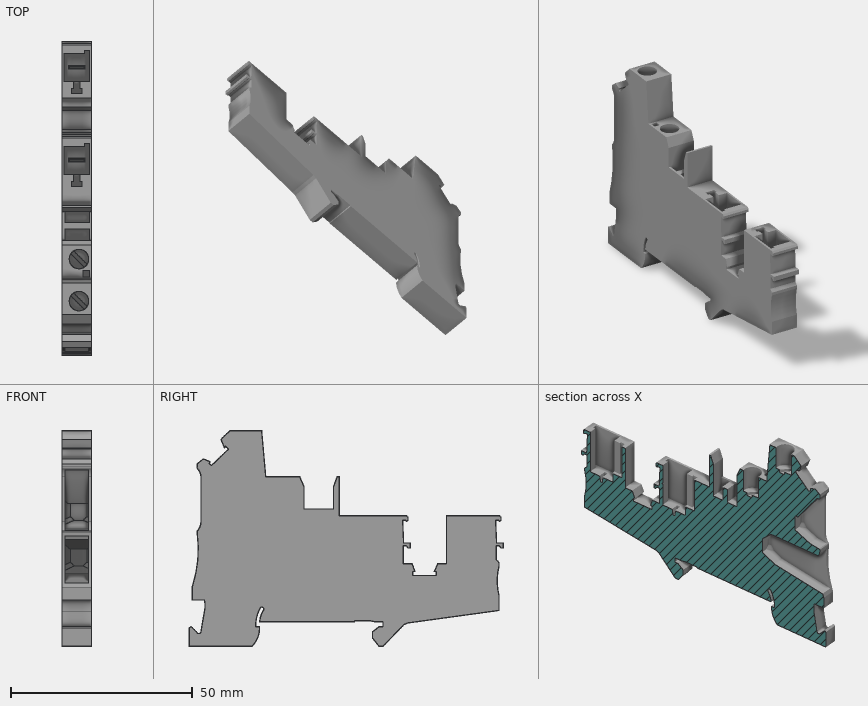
import cadquery as cq


thickness = 8.1
length = 86.45
height = 59.4
connector_top = 36.0
lower_deck = 46.7
marker_floor = 37.9
shelf_level = 22.7
channel_floor = 19.5
lip_level = 20.6
rail_level = 6.7
clip_level = 5.45

connector_pitch = 25.6
back_connector = length
front_connector = length - connector_pitch
pocket_x_min = 0.5
pocket_x_max = 7.5
pocket_back = 3.3
pocket_front = 11.1
key_depth = 0.8
key_width = 1.3
neck_width = 1.8
neck_end = 13.0
slot_head_width = 2.85
slot_head_end = 14.35
slot_center_x = 4.1
slot_depth = 10.4
blade_width = 4.6
blade_gap = 1.0
blade_center = 7.1
blade_depth = 1.7
blade_taper = 10.0

channel_front = 31.6
channel_back = 39.7
wall_back = 41.3
marker_x_min = 0.8
marker_width = 6.7
marker_length = 3.1
marker_depth = 4.3

screw_x = 4.7
screw_radius = 2.7
screw_depth = 6.9
driver_slot_width = 1.1
driver_slot_depth = 0.9
upper_screw_y = 14.95
screw_stagger = 11.6
lower_screw_y = upper_screw_y + screw_stagger
test_hole_size = 1.7
test_hole_x = 6.65
test_hole_y = 22.5
test_hole_depth = 4.3

entry_x_min = 0.8
entry_x_max = 7.35
entry_to_screw = 4.1
upper_stop_y = upper_screw_y - entry_to_screw
lower_stop_y = lower_screw_y - entry_to_screw
entry_pitch = 12.5
lower_stop_z = 22.1
upper_stop_z = lower_stop_z + entry_pitch
stop_height = 4.7
funnel_x = 4.6
funnel_half_width = 2.25
funnel_corner = 1.0
funnel_side_slope = 1.0
funnel_floor_length = 4.3
funnel_floor_rise = 2.1
funnel_headroom = 25.9


def connector_back(rear):
    """Points down a connector's back: latch lip, then the catch at the rearmost Y."""
    lip_bottom = connector_top - 1.3
    catch_top = 28.4
    catch_bottom = 27.1
    return [
        (rear - 1.0, connector_top),
        (rear - 0.6, connector_top - 0.5),
        (rear - 0.6, lip_bottom),
        (rear - 1.0, lip_bottom - 0.3),
        (rear - 1.3, lip_bottom),
        (rear - 2.1, lip_bottom),
        (rear - 1.8, catch_top),
        (rear, catch_top),
        (rear, catch_bottom),
        (rear - 0.7, catch_bottom),
        (rear - 1.1, catch_bottom + 0.6),
        (rear - 1.9, catch_bottom + 0.6),
    ]


def body():
    wire_side = [
        (2.2, 50.2),
        (3.9, 51.6),
        (5.8, 50.8),
        (5.5, 50.3),
        (6.1, 49.8),
        (10.8, 54.3),
        (9.9, 55.1),
        (9.7, 54.55),
        (8.7, 57.0),
        (11.2, height),
    ]
    upper_side = [
        (20.0, height),
        (21.1, lower_deck),
        (30.4, lower_deck),
        (channel_front, 43.9),
        (channel_front, marker_floor),
        (channel_back, marker_floor),
        (channel_back, 43.9),
        (40.7, lower_deck),
        (wall_back, lower_deck),
        (wall_back, connector_top),
    ]
    connector_gap = [
        (front_connector - 1.9, shelf_level),
        (61.4, shelf_level),
        (62.2, lip_level),
        (61.55, lip_level),
        (61.55, channel_floor),
        (67.95, channel_floor),
        (67.95, lip_level),
        (67.4, lip_level),
        (68.4, shelf_level),
        (70.8, shelf_level),
        (70.8, connector_top),
    ]
    back_clip = [
        (85.3, 9.85),
        (60.2, 6.4),
        (59.1, 6.0),
        (53.3, 0),
        (52.2, 0),
        (50.4, 2.3),
        (50.4, 4.0),
        (52.3, clip_level),
        (53.3, clip_level),
        (53.3, rail_level),
        (51.1, rail_level),
        (49.8, rail_level + 0.3),
        (45.65, rail_level + 0.3),
        (45.5, rail_level),
        (19.4, rail_level),
    ]
    return (
        cq.Workplane("YZ")
        .moveTo(0, 0)
        .lineTo(0, clip_level - 0.35)
        .lineTo(0.5, clip_level)
        .lineTo(2.2, 3.8)
        .threePointArc((2.8, 3.55), (3.2, 4.0))
        .lineTo(4.15, 9.6)
        .threePointArc((4.3, 11.15), (4.15, 12.7))
        .lineTo(0.8, 12.7)
        .lineTo(0.8, 16.25)
        .threePointArc((2.3, 23.8), (2.2, 31.3))
        .lineTo(2.2, 31.7)
        .threePointArc((2.9, 32.9), (3.2, 34.4))
        .lineTo(3.2, 46.8)
        .threePointArc((2.9, 47.9), (2.3, 48.8))
        .threePointArc((2.2, 49.1), (2.2, 49.5))
        .polyline(wire_side, includeCurrent=True)
        .polyline(upper_side, includeCurrent=True)
        .polyline(connector_back(front_connector), includeCurrent=True)
        .polyline(connector_gap, includeCurrent=True)
        .polyline(connector_back(back_connector), includeCurrent=True)
        .lineTo(84.55, 23.9)
        .lineTo(85.3, 23.0)
        .lineTo(85.3, 22.1)
        .threePointArc((84.8, 18.0), (85.3, 13.9))
        .polyline(back_clip, includeCurrent=True)
        .threePointArc((19.7, 8.5), (20.5, 10.0))
        .threePointArc((20.2, 10.7), (19.6, 10.6))
        .threePointArc((18.7, 8.3), (18.3, clip_level))
        .lineTo(19.4, clip_level)
        .threePointArc((18.9, 2.5), (17.3, 0))
        .close()
        .extrude(thickness)
    )


def block(x_min, x_max, y_min, y_max, z_min, z_max):
    return cq.Workplane("XY").box(
        x_max - x_min, y_max - y_min, z_max - z_min, centered=False
    ).translate((x_min, y_min, z_min))


def connector_pocket(rear):
    """Plug pocket with key notch, T-shaped slot and a tapered blade slit in its floor."""
    front = rear - pocket_front
    back = rear - pocket_back
    levels = (shelf_level, connector_top)
    slot_levels = (connector_top - slot_depth, connector_top)
    pocket = block(pocket_x_min, pocket_x_max, front, back, *levels)
    key = block(pocket_x_max - key_width, pocket_x_max, front, back + key_depth, *levels)
    neck = block(
        slot_center_x - neck_width / 2, slot_center_x + neck_width / 2,
        rear - neck_end, front, *slot_levels,
    )
    slot_head = block(
        slot_center_x - slot_head_width / 2, slot_center_x + slot_head_width / 2,
        rear - slot_head_end, rear - neck_end, *slot_levels,
    )
    blade_slit = (
        cq.Workplane("XY", origin=(slot_center_x, rear - blade_center, shelf_level))
        .rect(blade_width, blade_gap)
        .extrude(-blade_depth, taper=blade_taper)
    )
    return pocket.union(key).union(neck).union(slot_head).union(blade_slit)


def marker_pocket(y_min):
    return block(
        marker_x_min, marker_x_min + marker_width,
        y_min, y_min + marker_length,
        marker_floor - marker_depth, marker_floor,
    )


def screw_hole(y, top):
    """Round shaft down to the screw head, with the diagonal driver slot in the head."""
    head_level = top - screw_depth
    shaft = (
        cq.Workplane("XY", origin=(screw_x, y, head_level))
        .circle(screw_radius)
        .extrude(screw_depth)
    )
    driver_slot = (
        cq.Workplane("XY")
        .rect(2 * screw_radius, driver_slot_width)
        .extrude(-driver_slot_depth)
        .rotate((0, 0, 0), (0, 0, 1), -45)
        .translate((screw_x, y, head_level))
    )
    head = (
        cq.Workplane("XY", origin=(screw_x, y, head_level))
        .circle(screw_radius)
        .extrude(-driver_slot_depth)
    )
    return shaft.union(driver_slot.intersect(head))


def funnel_section(stop_y, stop_z, distance):
    """Wire with bevelled lower corners, at a distance in front of the wire stop."""
    half = funnel_half_width + distance * funnel_side_slope
    bottom = stop_z - distance * funnel_floor_rise / funnel_floor_length
    top = stop_z + funnel_headroom
    corners = [
        (-half, top),
        (-half, bottom + funnel_corner),
        (-half + funnel_corner, bottom),
        (half - funnel_corner, bottom),
        (half, bottom + funnel_corner),
        (half, top),
    ]
    points = [cq.Vector(funnel_x + x, stop_y - distance, z) for x, z in corners]
    return cq.Wire.makePolygon(points, close=True)


def wire_entry(side_profile, stop_y, stop_z):
    """Wire entry: the side profile across the width, narrowed by a funnel to the stop."""
    passage = (
        cq.Workplane("YZ", origin=(entry_x_min, 0, 0))
        .polyline(side_profile)
        .close()
        .extrude(entry_x_max - entry_x_min)
    )
    funnel = cq.Solid.makeLoft(
        [funnel_section(stop_y, stop_z, stop_y), funnel_section(stop_y, stop_z, 0)],
        True,
    )
    return passage.intersect(cq.Workplane(funnel))


upper_entry_profile = [
    (0, 32.0),
    (2.3, 32.0),
    (5.7, 32.4),
    (upper_stop_y, upper_stop_z),
    (upper_stop_y, upper_stop_z + stop_height),
    (upper_stop_y - 0.9, upper_stop_z + stop_height),
    (3.2, 48.6),
    (0, 48.6),
]
lower_entry_profile = [
    (0, 17.5),
    (1.1, 17.5),
    (lower_stop_y - funnel_floor_length, lower_stop_z - funnel_floor_rise),
    (lower_stop_y, lower_stop_z),
    (lower_stop_y, lower_stop_z + stop_height),
    (lower_stop_y - 0.2, lower_stop_z + stop_height),
    (lower_stop_y - 3.0, 29.4),
    (2.8, 29.4),
    (2.2, 30.6),
    (0, 30.6),
]

result = body()
for rear_y in (front_connector, back_connector):
    result = result.cut(connector_pocket(rear_y))
for pocket_y in (channel_front, channel_back - marker_length):
    result = result.cut(marker_pocket(pocket_y))
result = result.cut(screw_hole(upper_screw_y, height))
result = result.cut(screw_hole(lower_screw_y, lower_deck))
result = result.cut(
    block(
        test_hole_x - test_hole_size / 2, test_hole_x + test_hole_size / 2,
        test_hole_y - test_hole_size / 2, test_hole_y + test_hole_size / 2,
        lower_deck - test_hole_depth, lower_deck,
    )
)
result = result.cut(wire_entry(upper_entry_profile, upper_stop_y, upper_stop_z))
result = result.cut(wire_entry(lower_entry_profile, lower_stop_y, lower_stop_z))